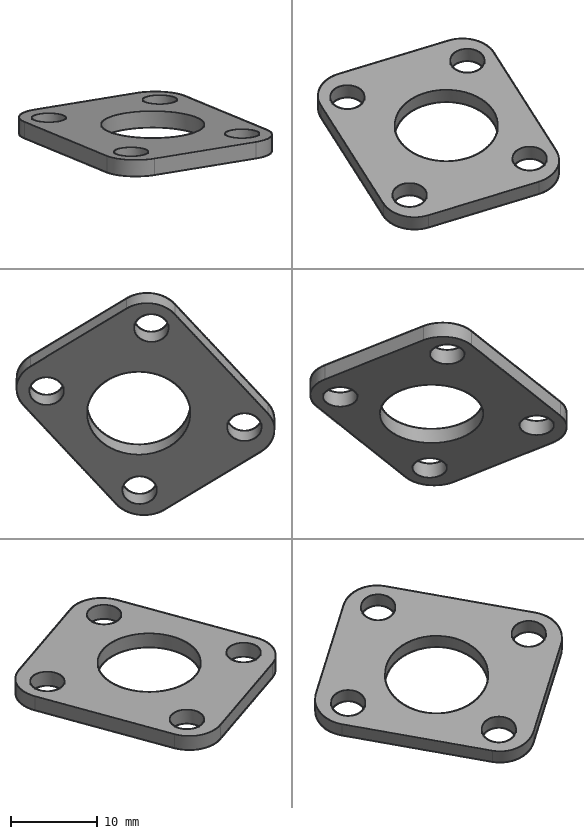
import cadquery as cq

length = 26.0
width = 22.0
thickness = 2.0
corner_radius = 4.0

bore_diameter = 12.0
bore_offset_y = 1.0

mount_diameter = 4.0
mount_spacing_x = 18.0
mount_spacing_y = 15.24

plate = (
    cq.Workplane("XY")
    .rect(length, width)
    .extrude(thickness)
    .edges("|Z")
    .fillet(corner_radius)
)

bore = (
    cq.Workplane("XY")
    .center(0, bore_offset_y)
    .circle(bore_diameter / 2)
    .extrude(thickness)
)

mount_holes = (
    cq.Workplane("XY")
    .rect(mount_spacing_x, mount_spacing_y, forConstruction=True)
    .vertices()
    .circle(mount_diameter / 2)
    .extrude(thickness)
)

result = plate.cut(bore).cut(mount_holes)